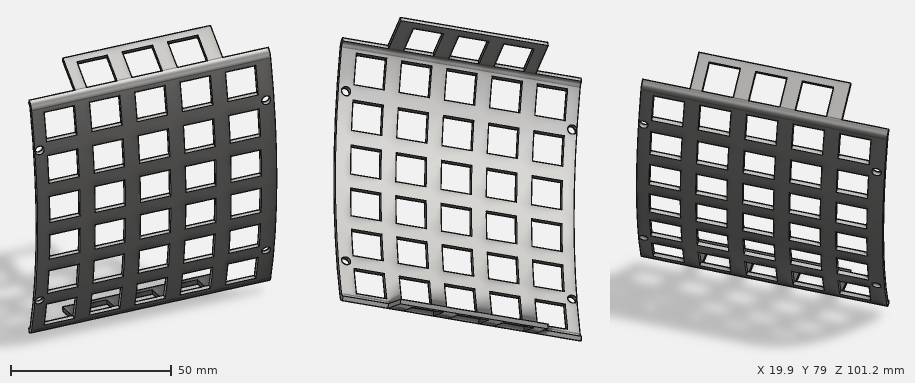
import cadquery as cq
import math

height = 101.2
plate_width = 79.0
sheet = 1.5

plate_radius = 172.1
bend_inner_radius = 2.1
flange_length = 12.1
flange_angle = 20.0
depth = 19.9

window = 10.0
pitch = 15.0
plate_columns = 5
plate_rows = 6
flange_columns = 3
grid_offset_y = -0.5
flange_tip_border = 2.4
flange_left_border = 5.0
flange_right_border = 3.8

hole_diameter = 2.9
hole_y = pitch * plate_columns / 2
hole_z = pitch * (plate_rows / 2 - 1)

apex_x = depth / 2
axis_x = apex_x - plate_radius
bend_outer_radius = bend_inner_radius + sheet
slope = math.radians(flange_angle)
bend_z = height / 2 - bend_outer_radius * math.cos(slope) - flange_length * math.sin(slope)
plate_angle = math.asin(bend_z / (plate_radius - bend_outer_radius))
bend_x = axis_x + (plate_radius - bend_outer_radius) * math.cos(plate_angle)
flange_normal_angle = math.pi / 2 - slope
bend_middle_angle = (plate_angle + flange_normal_angle) / 2


def plate_point(radius, angle):
    return (axis_x + radius * math.cos(angle), radius * math.sin(angle))


def bend_point(radius, angle):
    return (bend_x + radius * math.cos(angle), bend_z + radius * math.sin(angle))


def flange_point(radius, along):
    """Point on the flange face continuing a bend radius, at a distance from the bend."""
    x, z = bend_point(radius, flange_normal_angle)
    return (x - along * math.cos(slope), z + along * math.sin(slope))


def lower(point):
    return (point[0], -point[1])


def curved_plate():
    """Curved sheet together with both full-width bends."""
    plate_inner_radius = plate_radius - sheet
    outer_end = bend_point(bend_outer_radius, flange_normal_angle)
    outer_middle = bend_point(bend_outer_radius, bend_middle_angle)
    outer_start = plate_point(plate_radius, plate_angle)
    inner_end = bend_point(bend_inner_radius, flange_normal_angle)
    inner_middle = bend_point(bend_inner_radius, bend_middle_angle)
    inner_start = plate_point(plate_inner_radius, plate_angle)
    profile = (
        cq.Workplane("XZ")
        .moveTo(*outer_end)
        .threePointArc(outer_middle, outer_start)
        .threePointArc(plate_point(plate_radius, 0), lower(outer_start))
        .threePointArc(lower(outer_middle), lower(outer_end))
        .lineTo(*lower(inner_end))
        .threePointArc(lower(inner_middle), lower(inner_start))
        .threePointArc(plate_point(plate_inner_radius, 0), inner_start)
        .threePointArc(inner_middle, inner_end)
        .close()
    )
    return profile.extrude(plate_width / 2, both=True)


def flange_strip(start, end, y_center, width):
    """Sheet strip in the upper flange between two distances from the bend."""
    profile = cq.Workplane("XZ").polyline([
        flange_point(bend_inner_radius, start),
        flange_point(bend_outer_radius, start),
        flange_point(bend_outer_radius, end),
        flange_point(bend_inner_radius, end),
    ]).close()
    return profile.extrude(width / 2, both=True).translate((0, y_center, 0))


def upper_flange():
    grid_width = pitch * (flange_columns - 1) + window
    width = grid_width + flange_left_border + flange_right_border
    y_center = grid_offset_y + (flange_left_border - flange_right_border) / 2
    flange = flange_strip(0, flange_length, y_center, width)
    window_end = flange_length - flange_tip_border
    for column in range(flange_columns):
        y = grid_offset_y + pitch * (column - (flange_columns - 1) / 2)
        flange = flange.cut(flange_strip(0, window_end, y, window))
    return flange


def through_plate(sketch):
    """Cutter along X from a sketch in the YZ plane."""
    return sketch.extrude(depth, both=True)


def plate_windows():
    return through_plate(
        cq.Workplane("YZ")
        .center(grid_offset_y, 0)
        .rarray(pitch, pitch, plate_columns, plate_rows)
        .rect(window, window)
    )


def mounting_holes():
    return through_plate(
        cq.Workplane("YZ")
        .center(grid_offset_y, 0)
        .rect(2 * hole_y, 2 * hole_z, forConstruction=True)
        .vertices()
        .circle(hole_diameter / 2)
    )


flange = upper_flange()
result = (
    curved_plate()
    .cut(plate_windows())
    .cut(mounting_holes())
    .union(flange)
    .union(flange.mirror("XY"))
)